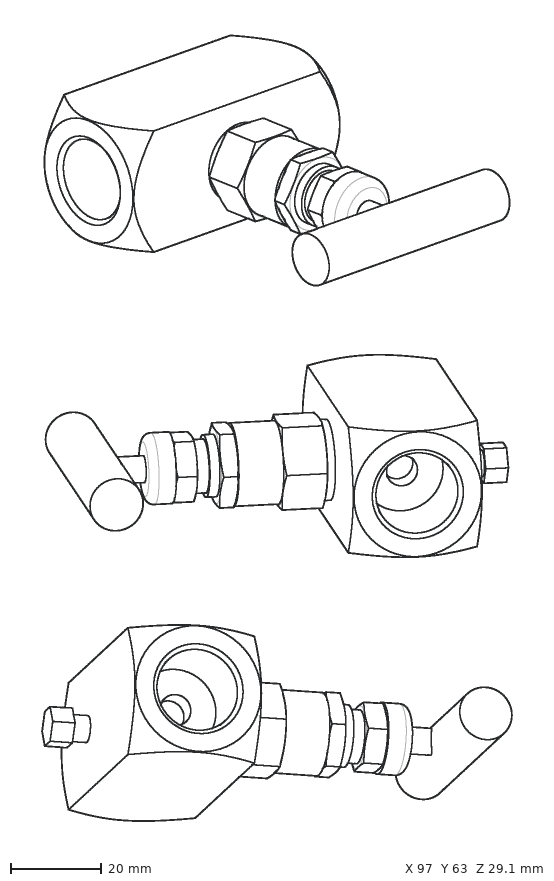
import cadquery as cq
import math

block_side = 29.1
block_length = 63.0
block_offset_y = -0.5
end_face_diameter = 28.8
port_diameter = 18.5
port_mouth_diameter = 20.6
port_depth = 19.4
passage_diameter = 7.0
passage_depth = 5.8

bleed_y = 9.0
bleed_shank_diameter = 6.0
bleed_shank_length = 4.0
bleed_head_flats = 8.0
bleed_head_length = 5.1

collar_diameter = 18.0
collar_length = 1.8
bonnet_hex_flats = 19.0
bonnet_hex_length = 9.9
barrel_diameter = 18.6
barrel_length = 10.1
lock_hex_flats = 17.0
lock_hex_length = 3.9
ring_diameter = 14.0
ring_length = 2.2
neck_diameter = 12.0
neck_length = 2.8
gland_hex_flats = 14.0
gland_hex_length = 4.9
cap_diameter = 16.0
cap_length = 5.9
cap_round = 1.9
hex_trim_angle = math.radians(15)

stem_diameter = 6.0
handle_diameter = 12.0
handle_length = 54.9
overall_length = 97.0

block_right = block_side / 2
screw_end = -block_side / 2 - bleed_shank_length - bleed_head_length
handle_x = screw_end + overall_length - handle_diameter / 2


def rod(diameter, start, length, y=0.0):
    """Cylinder along +X."""
    return cq.Workplane("YZ", origin=(start, y, 0)).circle(diameter / 2).extrude(length)


def hexagon(flats, start, length, y=0.0):
    """Hexagonal prism along +X with flats facing up and down."""
    corner_diameter = flats / math.cos(math.pi / 6)
    return cq.Workplane("YZ", origin=(start, y, 0)).polygon(6, corner_diameter).extrude(length)


def trimmed_hexagon(flats, start, length):
    """Hexagonal prism with its corners coned down to the inscribed circle at both ends."""
    end_radius = flats / 2
    corner_radius = end_radius / math.cos(math.pi / 6)
    trim_length = (corner_radius - end_radius) * math.tan(hex_trim_angle)
    end = start + length
    envelope = (
        cq.Workplane("XY")
        .moveTo(start, 0)
        .lineTo(start, end_radius)
        .lineTo(start + trim_length, corner_radius)
        .lineTo(end - trim_length, corner_radius)
        .lineTo(end, end_radius)
        .lineTo(end, 0)
        .close()
        .revolve(360, (0, 0, 0), (1, 0, 0))
    )
    return hexagon(flats, start, length).intersect(envelope)


def chamfered_bar():
    """Square bar with its ends turned down by a 45 degree cone."""
    corner_radius = block_side / math.sqrt(2)
    bar = cq.Workplane("XY").box(block_side, block_length, block_side)
    envelope = (
        cq.Workplane("XZ")
        .circle(corner_radius)
        .extrude(block_length / 2, both=True)
        .faces("<Y or >Y")
        .chamfer(corner_radius - end_face_diameter / 2)
    )
    return bar.intersect(envelope)


def port():
    """Revolved cutter for the port at the -Y end, with its mouth and inner passage."""
    mouth_y = -block_length / 2
    mouth_depth = (port_mouth_diameter - port_diameter) / 2
    floor_y = mouth_y + port_depth
    passage_end_y = floor_y + passage_depth
    return (
        cq.Workplane("XY")
        .moveTo(0, mouth_y)
        .lineTo(port_mouth_diameter / 2, mouth_y)
        .lineTo(port_diameter / 2, mouth_y + mouth_depth)
        .lineTo(port_diameter / 2, floor_y)
        .lineTo(passage_diameter / 2, floor_y)
        .lineTo(passage_diameter / 2, passage_end_y)
        .lineTo(0, passage_end_y)
        .close()
        .revolve(360, (0, 0, 0), (0, 1, 0))
    )


def make_valve_block():
    """Block with a port at each end and the bleed screw on its -X side."""
    block = chamfered_bar()
    for turn in (0, 180):
        block = block.cut(port().rotate((0, 0, 0), (0, 0, 1), turn))
    block = block.translate((0, block_offset_y, 0))
    head = hexagon(bleed_head_flats, screw_end, bleed_head_length, bleed_y)
    shank = rod(bleed_shank_diameter, screw_end + bleed_head_length, bleed_shank_length, bleed_y)
    return block.union(shank).union(head)


def make_bonnet():
    """Bonnet, gland nut, stem and T-bar handle, stacked along +X from the block face."""
    bonnet_hex_start = block_right + collar_length
    barrel_start = bonnet_hex_start + bonnet_hex_length
    lock_hex_start = barrel_start + barrel_length
    ring_start = lock_hex_start + lock_hex_length
    neck_start = ring_start + ring_length
    gland_hex_start = neck_start + neck_length
    cap_start = gland_hex_start + gland_hex_length
    stem_start = cap_start + cap_length

    bonnet = rod(collar_diameter, block_right, collar_length)
    sections = [
        trimmed_hexagon(bonnet_hex_flats, bonnet_hex_start, bonnet_hex_length),
        rod(barrel_diameter, barrel_start, barrel_length),
        trimmed_hexagon(lock_hex_flats, lock_hex_start, lock_hex_length),
        rod(ring_diameter, ring_start, ring_length),
        rod(neck_diameter, neck_start, neck_length),
        trimmed_hexagon(gland_hex_flats, gland_hex_start, gland_hex_length),
        rod(cap_diameter, cap_start, cap_length).faces(">X").edges().fillet(cap_round),
        rod(stem_diameter, stem_start, handle_x - stem_start),
    ]
    for section in sections:
        bonnet = bonnet.union(section)

    handle = (
        cq.Workplane("XZ", origin=(handle_x, handle_length / 2, 0))
        .circle(handle_diameter / 2)
        .extrude(handle_length)
    )
    return bonnet.union(handle)


valve_block = make_valve_block()
bonnet = make_bonnet()

result = cq.Compound.makeCompound([valve_block.val(), bonnet.val()])